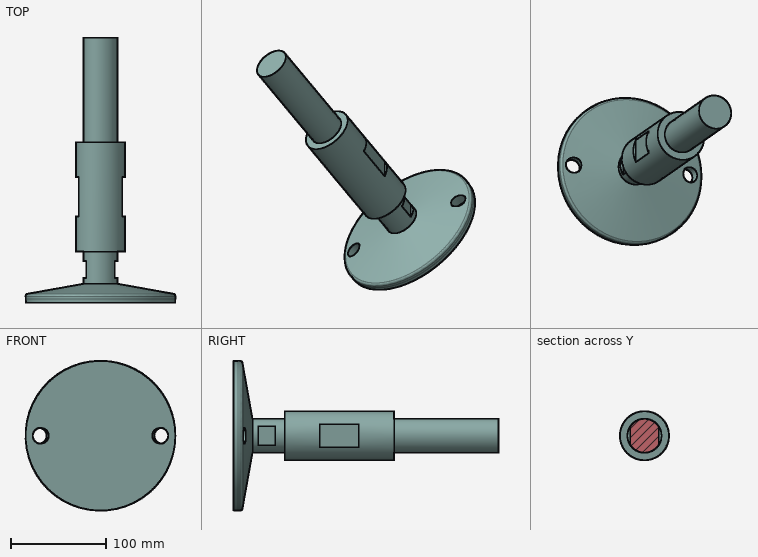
import cadquery as cq
import math

total_length = 279.0

plate_diameter = 158.0
base_diameter = 157.4
base_band_height = 4.5
rim_height = 9.2
cone_top = 20.0
rim_fillet = 2.8

stem_diameter = 36.0
stem_flat_start = 26.2
stem_flat_length = 17.5
stem_across_flats = 30.0

hole_diameter = 16.5
hole_offset = 62.8
hole_count = 2
hole_cutter_length = 111.5

sleeve_diameter = 52.0
sleeve_start = 53.8
sleeve_length = 115.2
sleeve_flat_length = 41.3
sleeve_across_flats = 46.0

stem_radius = stem_diameter / 2
plate_radius = plate_diameter / 2
cone_angle = math.atan2(cone_top - rim_height, plate_radius - stem_radius)


def cylinder_along_y(diameter, start, length):
    """Solid cylinder on the Y axis, from start to start + length."""
    plane = cq.Plane(origin=(0, start, 0), xDir=(1, 0, 0), normal=(0, 1, 0))
    return cq.Workplane(plane).circle(diameter / 2).extrude(length)


def cut_flats(body, diameter, across_flats, start, length):
    """Cut two opposite wrench flats that face -X and +X."""
    depth = (diameter - across_flats) / 2
    for side in (-1, 1):
        center_x = side * (across_flats + depth) / 2
        cutter = cq.Workplane("XY").box(depth, length, diameter)
        body = body.cut(cutter.translate((center_x, start + length / 2, 0)))
    return body


def make_plate():
    """Conical plate with a rounded rim and a slightly tapered base band."""
    profile = (
        cq.Workplane("XY")
        .moveTo(0, 0)
        .lineTo(base_diameter / 2, 0)
        .lineTo(plate_radius, base_band_height)
        .lineTo(plate_radius, rim_height)
        .lineTo(stem_radius, cone_top)
        .lineTo(0, cone_top)
        .close()
    )
    plate = profile.revolve(360, (0, 0, 0), (0, 1, 0))
    rim_point = (0, rim_height, plate_radius)
    return plate.edges(cq.selectors.NearestToPointSelector(rim_point)).fillet(rim_fillet)


def cut_inclined_holes(body):
    """Cut the holes, which lean outward as they rise."""
    for index in range(hole_count):
        turn = 2 * math.pi * index / hole_count
        outward = cq.Vector(math.cos(turn), 0, math.sin(turn))
        axis = outward * math.sin(cone_angle) + cq.Vector(0, math.cos(cone_angle), 0)
        start = outward * hole_offset - axis * (hole_cutter_length / 2)
        cutter = cq.Solid.makeCylinder(hole_diameter / 2, hole_cutter_length, start, axis)
        body = body.cut(cq.Workplane(obj=cutter))
    return body


def make_foot():
    """Plate and stem as one solid."""
    stem = cylinder_along_y(stem_diameter, 0, total_length)
    stem = cut_flats(stem, stem_diameter, stem_across_flats, stem_flat_start, stem_flat_length)
    plate = cut_inclined_holes(make_plate())
    return plate.union(stem)


def make_sleeve():
    """Tube that fits closely on the stem, with two wrench flats at mid-length."""
    sleeve = cylinder_along_y(sleeve_diameter, sleeve_start, sleeve_length)
    sleeve = sleeve.cut(cylinder_along_y(stem_diameter, sleeve_start, sleeve_length))
    flat_start = sleeve_start + (sleeve_length - sleeve_flat_length) / 2
    return cut_flats(sleeve, sleeve_diameter, sleeve_across_flats, flat_start, sleeve_flat_length)


foot = make_foot()
sleeve = make_sleeve()

result = cq.Compound.makeCompound([foot.solids().val(), sleeve.solids().val()])